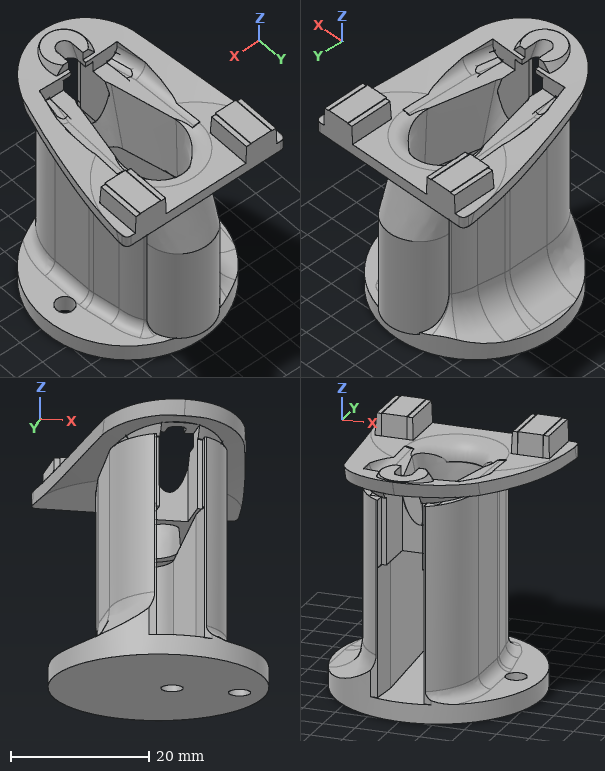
import cadquery as cq
import math

BASE_R = 16.0
BASE_H = 3.0
HOLE_D = 3.2
HOLE_XS = [2.0, 12.0]

COLUMN_HALF_W = 8.58
COLUMN_TOP = 33.5
NOSE_Y = -6.2
NOSE_DEPTH = 10.17
FRONT_Y = -15.3
FLANK_BEND_Y = 1.82
FLANK_BEND_R = 5.7
SHOULDER = (7.7, 7.02)
REAR_ARC_MID = (7.33, 9.1)
BACK_CORNER = (6.35, 11.2)
BACK_CORNER_R = 0.3
LEFT_FOOT_R = 6.53
RIGHT_FOOT_R = 1.9
SLAB_HALF = 26.57

TUBE_R = 6.0
TUBE_Y = 11.2
TUBE_STRAIGHT_TOP = 21.0
TUBE_TOP = 30.6
TUBE_TOP_R = 6.65

BORE_R = 4.65
THROAT_HALF_W = 3.23
THROAT_Y = -10.97
MOUTH_HALF_W = 3.55

BOWL_Y = 6.85
PLATE_AXIS_Y = 14.95
FLAT_R = 15.2
PLATE_TOP = 33.5
PLATE_T = 2.0
TIP_Y = -18.68
TIP_Z = 37.95
DISH_SLOPE = (TIP_Z - PLATE_TOP) / (PLATE_AXIS_Y - TIP_Y - FLAT_R)
DISH_OUTER_R = 41.75
PLATE_BACK_Y = 17.35
PLATE_HALF_W = 15.25
PLATE_CORNER_R = 0.95
RIM_LEAN = 0.34
RIM_DEPTH = 8.35
RIM_SIDE_Y = 13.65
RIM_MID = (13.35, 1.0)
RIM_NOSE_START = (10.45, -11.65)
RIM_NOSE_MID = (6.07, -16.93)

LUG_X = 10.55
LUG_W = 5.92
LUG_L = 7.9
LUG_CORE_W = 3.95
LUG_SHOULDER_DROP = 0.1
LUG_TOP = 37.05
LUG_DRAFT = 2.5

NECK_SETBACK = 1.5
NECK_LEAN = 0.67
NECK_H = 2.28
COLLAR_TOP_R = 7.6
PLUG_BOTTOM = 23.05
PLUG_R = 6.25
PLUG_FRONT_Y = -13.78
PLUG_FRONT_HALF_W = 5.3

FUNNEL_TOP_R = 5.9
FUNNEL_TOP_Y = 5.3
FUNNEL_TOP_NOSE_R = 3.25
FUNNEL_TOP_NOSE_Y = -6.75
FUNNEL_NOSE_R = 2.3
FUNNEL_NOSE_Y = -3.2
BOWL_LIP_R = 3.07
CHANNEL_HALF_W = 2.8
CHANNEL_BACK_Y = -7.35
CHANNEL_CEILING = 35.23
SLOT_HALF_W = 1.35
SLOT_END_Y = -15.37
SLOT_LEAN = 0.53
POCKET_FLOOR_Z = 33.25
POCKET_FILLET_R = 2.1
POCKET_BACK_Y = BOWL_Y
POCKET_FRONT_Y = THROAT_Y
POCKET_SIDE = [(8.95, POCKET_BACK_Y), (8.45, -5.92), (7.4, POCKET_FRONT_Y)]

BOSS_Y = -14.15
BOSS_TOP = 37.8
BOSS_TOP_R = 3.53
BOSS_FOOT_R = 4.85
BOSS_FOOT_Z = 35.7
BOSS_BACK_Y = -11.55


def box(x0, x1, y0, y1, z0, z1):
    return cq.Workplane("XY").box(x1 - x0, y1 - y0, z1 - z0, centered=False).translate((x0, y0, z0))


def disc(radius, y, z0, z1):
    return cq.Workplane("XY", origin=(0, y, z0)).circle(radius).extrude(z1 - z0)


def frustum(y, r0, z0, r1, z1):
    return cq.Workplane(cq.Solid.makeCone(r0, r1, z1 - z0, cq.Vector(0, y, z0)))


def edge_zone(low, high, margin=0.38):
    """Selector for edges centred in a box that is widened by a margin on every side."""
    return cq.selectors.BoxSelector([c - margin for c in low], [c + margin for c in high])


def mirrored(points):
    """Right-hand points followed by their left-hand mirror images, as one loop."""
    return points + [(-x, y) for x, y in reversed(points)]


def slanted_prism(outline, lean, height):
    """Extrude a closed outline so that it leans toward -Y as it rises."""
    wire = outline.val()
    return cq.Workplane(cq.Solid.extrudeLinear(wire, [], cq.Vector(0, -lean * height, height)))


def teardrop(sketch, back_r, back_y, nose_r, nose_y):
    """Two circles on the Y axis joined by their outer tangents."""
    sine = (back_r - nose_r) / (back_y - nose_y)
    cosine = math.sqrt(1 - sine ** 2)
    back_x, back_join = back_r * cosine, back_y - back_r * sine
    nose_x, nose_join = nose_r * cosine, nose_y - nose_r * sine
    return (
        sketch.moveTo(nose_x, nose_join)
        .lineTo(back_x, back_join)
        .threePointArc((0, back_y + back_r), (-back_x, back_join))
        .lineTo(-nose_x, nose_join)
        .threePointArc((0, nose_y - nose_r), (nose_x, nose_join))
        .close()
    )


def column_outline(z, y_shift=0.0):
    """Plan of the column: elliptical nose, straight flanks and a narrower back."""
    rear = [(COLUMN_HALF_W, FLANK_BEND_Y), SHOULDER, REAR_ARC_MID, BACK_CORNER]
    right_bend, right_shoulder, right_arc, right_corner = rear
    left_bend, left_shoulder, left_arc, left_corner = [(-x, y) for x, y in rear]
    return (
        cq.Workplane("XY", origin=(0, y_shift, z))
        .moveTo(COLUMN_HALF_W, NOSE_Y)
        .lineTo(*right_bend)
        .lineTo(*right_shoulder)
        .threePointArc(right_arc, right_corner)
        .lineTo(*left_corner)
        .threePointArc(left_arc, left_shoulder)
        .lineTo(*left_bend)
        .lineTo(-COLUMN_HALF_W, NOSE_Y)
        .ellipseArc(COLUMN_HALF_W, NOSE_DEPTH, 180, 360, startAtCurrent=True)
        .close()
    )


def column_prism():
    prism = column_outline(BASE_H).extrude(COLUMN_TOP - BASE_H)
    prism = prism.edges("|Z and >Y").fillet(BACK_CORNER_R)
    bends = edge_zone((-BASE_R, FLANK_BEND_Y, BASE_H), (BASE_R, FLANK_BEND_Y, COLUMN_TOP))
    return prism.edges(bends).edges("|Z").fillet(FLANK_BEND_R)


def filleted_half(foot_radius, x0, x1):
    """Half of the column with its foot fillet, trimmed to the base circle."""
    slab = box(-SLAB_HALF, SLAB_HALF, -SLAB_HALF, SLAB_HALF, 0, BASE_H)
    column = slab.union(column_prism())
    foot = edge_zone((-BASE_R, -BASE_R - NOSE_DEPTH, BASE_H), (BASE_R, BASE_R, BASE_H))
    column = column.edges(foot).fillet(foot_radius)
    column = column.intersect(disc(BASE_R, 0, BASE_H, COLUMN_TOP))
    return column.intersect(box(x0, x1, FRONT_Y, BASE_R, BASE_H, COLUMN_TOP))


def back_tube():
    straight = disc(TUBE_R, TUBE_Y, BASE_H, TUBE_STRAIGHT_TOP)
    leaning = (
        cq.Workplane("XY", origin=(0, 0, TUBE_STRAIGHT_TOP))
        .center(0, TUBE_Y).circle(TUBE_R)
        .workplane(offset=TUBE_TOP - TUBE_STRAIGHT_TOP)
        .center(0, BOWL_Y - TUBE_Y).circle(TUBE_TOP_R)
        .loft(combine=True)
    )
    return straight.union(leaning)


def housing_cavity():
    """Keyhole-shaped cavity, open at the front and closed by the base below."""
    return (
        cq.Workplane("XY", origin=(0, 0, BASE_H))
        .moveTo(MOUTH_HALF_W, FRONT_Y)
        .lineTo(THROAT_HALF_W, THROAT_Y)
        .lineTo(BORE_R, TUBE_Y)
        .threePointArc((0, TUBE_Y + BORE_R), (-BORE_R, TUBE_Y))
        .lineTo(-THROAT_HALF_W, THROAT_Y)
        .lineTo(-MOUTH_HALF_W, FRONT_Y)
        .close()
        .extrude(PLUG_BOTTOM - BASE_H)
    )


def front_mouth():
    """Opening in front of the plug, up to the top of the column."""
    return box(-MOUTH_HALF_W, MOUTH_HALF_W, FRONT_Y, PLUG_FRONT_Y, PLUG_BOTTOM, COLUMN_TOP)


def make_housing(seat_envelope):
    body = disc(BASE_R, 0, 0, BASE_H)
    body = body.union(filleted_half(LEFT_FOOT_R, -BASE_R, 0))
    body = body.union(filleted_half(RIGHT_FOOT_R, 0, BASE_R))
    body = body.union(back_tube())
    body = body.cut(housing_cavity()).cut(front_mouth())
    for x in HOLE_XS:
        body = body.cut(disc(HOLE_D / 2, 0, 0, BASE_H + RIGHT_FOOT_R).translate((x, 0, 0)))
    return body.cut(seat_envelope).cut(pocket())


def below_dish(top):
    """Everything under a face of revolution that is flat in the middle and conical outside."""
    rise = DISH_SLOPE * (DISH_OUTER_R - FLAT_R)
    profile = [(0, 0), (0, top), (FLAT_R, top), (DISH_OUTER_R, top + rise), (DISH_OUTER_R, 0)]
    return (
        cq.Workplane("XZ").polyline(profile).close()
        .revolve(360, (0, 0, 0), (0, 1, 0))
        .translate((0, PLATE_AXIS_Y, 0))
    )


def rim_prism():
    """Plan shape of the plate, with a rim that leans forward and a squared-off back."""
    mid_x, mid_y = RIM_MID
    start_x, start_y = RIM_NOSE_START
    far_back = PLATE_BACK_Y + RIM_SIDE_Y
    outline = (
        cq.Workplane("XY", origin=(0, RIM_LEAN * RIM_DEPTH, TIP_Z - RIM_DEPTH))
        .moveTo(PLATE_HALF_W, far_back)
        .lineTo(PLATE_HALF_W, RIM_SIDE_Y)
        .threePointArc((mid_x, mid_y), (start_x, start_y))
        .threePointArc(RIM_NOSE_MID, (0, TIP_Y))
        .threePointArc((-RIM_NOSE_MID[0], RIM_NOSE_MID[1]), (-start_x, start_y))
        .threePointArc((-mid_x, mid_y), (-PLATE_HALF_W, RIM_SIDE_Y))
        .lineTo(-PLATE_HALF_W, far_back)
        .close().wire()
    )
    trim = box(-PLATE_HALF_W, PLATE_HALF_W, 2 * TIP_Y, PLATE_BACK_Y, TIP_Z - RIM_DEPTH, TIP_Z)
    trim = trim.edges("|Z and >Y").fillet(PLATE_CORNER_R)
    return slanted_prism(outline, RIM_LEAN, RIM_DEPTH).intersect(trim)


def lugs():
    """Two drafted blocks, each with a slightly proud strip along its middle."""
    pair = cq.Workplane("XY")
    front_y = PLATE_BACK_Y - LUG_L
    shoulder_top = LUG_TOP - LUG_SHOULDER_DROP
    for side in (-1, 1):
        x = side * LUG_X
        drafted = (
            cq.Workplane("XY", origin=(x, PLATE_BACK_Y, PLATE_TOP))
            .rect(LUG_W, 2 * LUG_L)
            .extrude(shoulder_top - PLATE_TOP, taper=LUG_DRAFT)
            .intersect(box(x - LUG_W, x + LUG_W, front_y, PLATE_BACK_Y, PLATE_TOP, LUG_TOP))
        )
        core = box(x - LUG_CORE_W / 2, x + LUG_CORE_W / 2, front_y, PLATE_BACK_Y, PLATE_TOP, LUG_TOP)
        pair = pair.union(drafted).union(core)
    return pair


def plug():
    return (
        cq.Workplane("XY", origin=(0, 0, PLUG_BOTTOM))
        .moveTo(PLUG_FRONT_HALF_W, PLUG_FRONT_Y)
        .lineTo(PLUG_R, BOWL_Y)
        .threePointArc((0, BOWL_Y + PLUG_R), (-PLUG_R, BOWL_Y))
        .lineTo(-PLUG_FRONT_HALF_W, PLUG_FRONT_Y)
        .close()
        .extrude(COLUMN_TOP - PLUG_BOTTOM)
    )


def neck():
    """Flared transition from the top of the column to the underside of the plate."""
    outline = column_outline(COLUMN_TOP, NECK_SETBACK).wire()
    flare = slanted_prism(outline, NECK_LEAN, NECK_H)
    collar = frustum(BOWL_Y, TUBE_TOP_R, TUBE_TOP, COLLAR_TOP_R, PLATE_TOP - PLATE_T)
    return flare.union(collar)


def boss():
    cone = frustum(BOSS_Y, BOSS_FOOT_R, BOSS_FOOT_Z, BOSS_TOP_R, BOSS_TOP)
    front = box(-BOSS_FOOT_R, BOSS_FOOT_R, 2 * TIP_Y, BOSS_BACK_Y, BOSS_FOOT_Z, BOSS_TOP)
    return cone.intersect(front)


def bowl_lip():
    """Rounded lip that leads from the flat of the plate into the bore of the funnel."""
    lip_bottom = PLATE_TOP - BOWL_LIP_R
    rim_r = BORE_R + BOWL_LIP_R
    diagonal = BOWL_LIP_R * math.sqrt(0.5)
    return (
        cq.Workplane("XZ")
        .moveTo(0, lip_bottom)
        .lineTo(BORE_R, lip_bottom)
        .threePointArc((rim_r - diagonal, lip_bottom + diagonal), (rim_r, PLATE_TOP))
        .lineTo(0, PLATE_TOP)
        .close()
        .revolve(360, (0, 0, 0), (0, 1, 0))
        .translate((0, BOWL_Y, 0))
    )


def funnel():
    bottom = cq.Workplane("XY", origin=(0, 0, PLUG_BOTTOM))
    bottom = teardrop(bottom, BORE_R, BOWL_Y, FUNNEL_NOSE_R, FUNNEL_NOSE_Y)
    top = bottom.workplane(offset=PLATE_TOP - PLUG_BOTTOM)
    top = teardrop(top, FUNNEL_TOP_R, FUNNEL_TOP_Y, FUNNEL_TOP_NOSE_R, FUNNEL_TOP_NOSE_Y)
    return top.loft(ruled=True).union(bowl_lip())


def pocket():
    """Shallow recess around the funnel, its side walls rounded into its floor."""
    recess = (
        cq.Workplane("XY", origin=(0, 0, POCKET_FLOOR_Z))
        .polyline(mirrored(POCKET_SIDE)).close()
        .extrude(TIP_Z - POCKET_FLOOR_Z)
    )
    side_edges = recess.faces("<Z").edges("not(<Y or >Y)")
    return side_edges.fillet(POCKET_FILLET_R)


def channel():
    """Front channel of the plug and the narrow slot that carries it through the boss."""
    under = box(-CHANNEL_HALF_W, CHANNEL_HALF_W, TIP_Y, CHANNEL_BACK_Y, PLUG_BOTTOM, CHANNEL_CEILING)
    opening = box(-CHANNEL_HALF_W, CHANNEL_HALF_W, POCKET_FRONT_Y, CHANNEL_BACK_Y, CHANNEL_CEILING, TIP_Z)
    slot_h = BOSS_TOP - CHANNEL_CEILING
    end_y = SLOT_END_Y + SLOT_LEAN * slot_h
    slot_outline = (
        cq.Workplane("XY", origin=(0, 0, CHANNEL_CEILING))
        .moveTo(SLOT_HALF_W, CHANNEL_BACK_Y)
        .lineTo(SLOT_HALF_W, end_y + SLOT_HALF_W)
        .threePointArc((0, end_y), (-SLOT_HALF_W, end_y + SLOT_HALF_W))
        .lineTo(-SLOT_HALF_W, CHANNEL_BACK_Y)
        .close().wire()
    )
    return under.union(opening).union(slanted_prism(slot_outline, SLOT_LEAN, slot_h))


def seat_blank():
    """The seat before its openings are cut: plate, boss, lugs, neck and plug."""
    under_top = below_dish(PLATE_TOP)
    layer = under_top.cut(below_dish(PLATE_TOP - PLATE_T))
    plate = layer.union(boss()).intersect(rim_prism())
    stem = neck().union(plug()).intersect(under_top)
    return plate.union(stem).union(lugs())


def make_seat(blank):
    return blank.cut(pocket()).cut(funnel()).cut(channel())


blank = seat_blank()
housing = make_housing(blank)
seat = make_seat(blank)

result = cq.Compound.makeCompound([housing.solids().val(), seat.solids().val()])